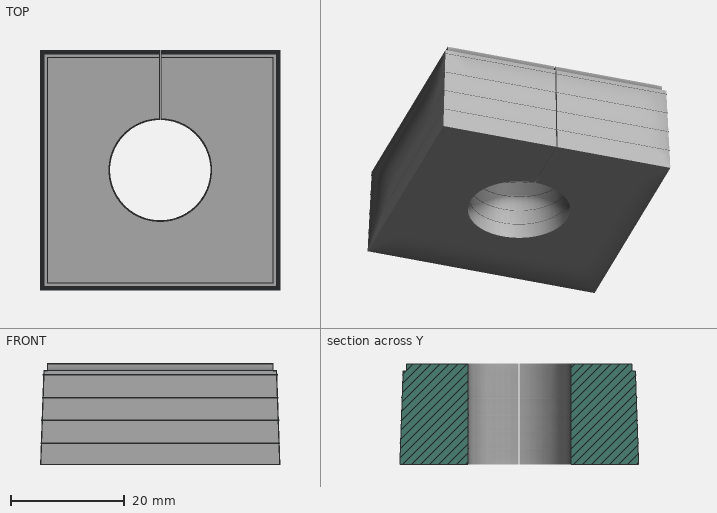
import cadquery as cq
import math

base_side = 42.0
shoulder_height = 16.5
draft_angle = 2.0

pad_side = 39.6
total_height = 17.7

outer_rib_size = 0.1
outer_rib_pitch = 4.0
outer_rib_count = 4
lowest_outer_rib_height = 3.7

bore_diameter = 18.0
bore_rib_size = 0.1
bore_rib_gap = 2.8
bore_rib_count = 4
bore_rib_pitch = bore_rib_gap + bore_rib_size

slit_width = 0.2


def side_at(height):
    """Side length of the tapered body at a given height."""
    return base_side - 2 * height * math.tan(math.radians(draft_angle))


def square_block(side, bottom, height):
    """Square block centred on the Z axis."""
    return cq.Workplane("XY").workplane(offset=bottom).rect(side, side).extrude(height)


def tapered_body():
    base = cq.Workplane("XY").rect(base_side, base_side)
    return base.extrude(shoulder_height, taper=draft_angle)


def top_pad():
    return square_block(pad_side, shoulder_height, total_height - shoulder_height)


def outer_rib(bottom):
    """Square band standing slightly proud of the tapered sides."""
    side = side_at(bottom) + 2 * outer_rib_size
    return square_block(side, bottom, outer_rib_size)


def bore_cutter():
    """Bore cylinder with a shallow ring missing wherever a rib stands on the wall."""
    cutter = cq.Workplane("XY").circle(bore_diameter / 2).extrude(total_height)
    for index in range(bore_rib_count):
        bottom = bore_rib_gap + index * bore_rib_pitch
        rib = (
            cq.Workplane("XY")
            .workplane(offset=bottom)
            .circle(bore_diameter / 2)
            .circle(bore_diameter / 2 - bore_rib_size)
            .extrude(bore_rib_size)
        )
        cutter = cutter.cut(rib)
    return cutter


def slit_cutter():
    """Full-height slit from the bore axis out through the +Y side."""
    slit_length = base_side / 2
    return cq.Workplane("XY").box(slit_width, slit_length, total_height, centered=(True, False, False))


result = tapered_body().union(top_pad())
for rib_index in range(outer_rib_count):
    result = result.union(outer_rib(lowest_outer_rib_height + rib_index * outer_rib_pitch))
result = result.cut(bore_cutter()).cut(slit_cutter())